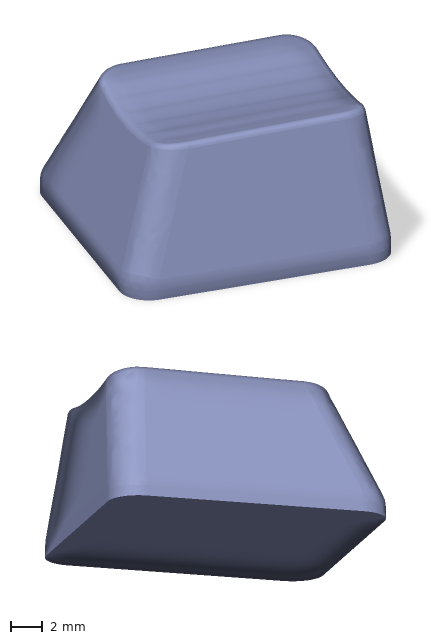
import cadquery as cq
import math

base_side = 18.16
corner_radius = 2.0
skirt_height = 1.04

side_lean = 20.3
front_lean = 21.7
back_lean = 5.0
blank_height = 9.99

dish_radius = 23.6
dish_floor = 8.45
dish_tilt = 1.2
rim_radius = 0.44


def inset(lean):
    """Distance a wall moves inward between the skirt and the blank's top."""
    return (blank_height - skirt_height) * math.tan(math.radians(lean))


def make_blank():
    """Square skirt with four leaning walls, softened at creases and corners."""
    skirt = cq.Workplane("XY").rect(base_side, base_side).extrude(skirt_height)
    top_width = base_side - 2 * inset(side_lean)
    top_depth = base_side - inset(front_lean) - inset(back_lean)
    top_shift = (inset(front_lean) - inset(back_lean)) / 2
    walls = (
        cq.Workplane("XY", origin=(0, 0, skirt_height))
        .rect(base_side, base_side)
        .workplane(offset=blank_height - skirt_height)
        .center(0, top_shift)
        .rect(top_width, top_depth)
        .loft(ruled=True)
    )
    block = skirt.union(walls)
    return block.edges("not(<Z or >Z)").fillet(corner_radius)


def make_dish():
    """Cylinder that hollows the top face."""
    length = 2 * base_side
    return (
        cq.Workplane("XZ")
        .circle(dish_radius)
        .extrude(length / 2, both=True)
        .rotate((0, 0, 0), (1, 0, 0), dish_tilt)
        .translate((0, 0, dish_floor + dish_radius))
    )


def round_rim(body):
    """Round the edge between the dish and the walls."""
    rim = cq.selectors.BoxSelector(
        (-base_side, -base_side, dish_floor - rim_radius),
        (base_side, base_side, blank_height),
        boundingbox=True,
    )
    return body.edges(rim).fillet(rim_radius)


result = round_rim(make_blank().cut(make_dish()))